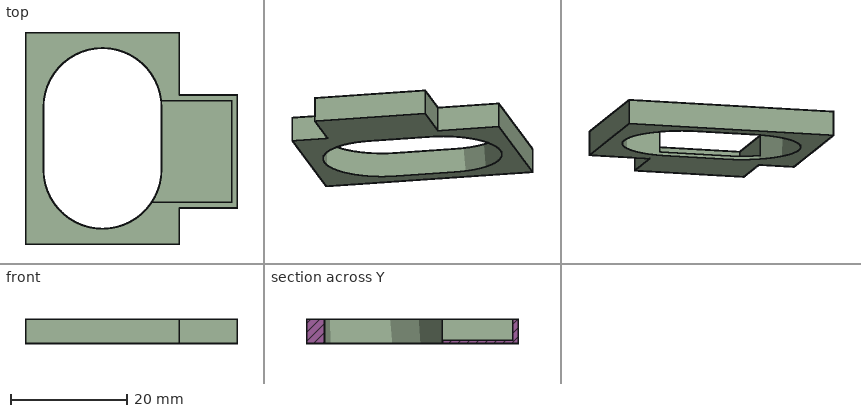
import cadquery as cq

plate_width = 26.5
plate_length = 36.5
thickness = 4.2

opening_width = 20.3
opening_length = 31.1

tab_reach = 10.0
tab_length = 19.5
tab_center_y = -2.25
tray_wall = 1.0
tray_floor = 0.6

plate_edge_x = plate_width / 2
tab_end_x = plate_edge_x + tab_reach


def block(x_start, x_end, length, center_y, z_start, z_end):
    """Upright box between two X positions and two heights."""
    return (
        cq.Workplane("XY", origin=((x_start + x_end) / 2, center_y, z_start))
        .rect(x_end - x_start, length)
        .extrude(z_end - z_start)
    )


def make_body():
    """Plate and tab joined as one flat body."""
    plate = block(-plate_edge_x, plate_edge_x, plate_length, 0, 0, thickness)
    tab = block(0, tab_end_x, tab_length, tab_center_y, 0, thickness)
    return plate.union(tab)


def make_opening():
    """Through opening with full-radius ends along Y."""
    return cq.Workplane("XY").slot2D(opening_length, opening_width, 90).extrude(thickness)


def make_tray():
    """Tray cavity, running from the opening to the tab's end wall."""
    cavity_length = tab_length - 2 * tray_wall
    return block(0, tab_end_x - tray_wall, cavity_length, tab_center_y, tray_floor, thickness)


result = make_body().cut(make_opening()).cut(make_tray())